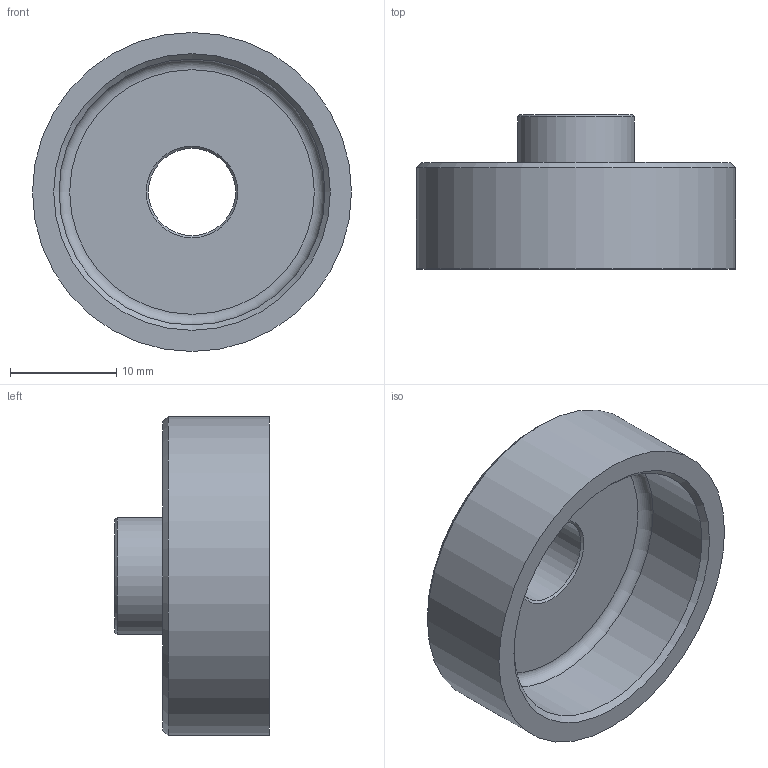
import cadquery as cq

body_diameter = 30.0
body_length = 10.0
body_chamfer = 0.5

boss_diameter = 11.0
boss_length = 4.5
boss_chamfer = 0.2

recess_diameter = 25.0
recess_depth = 8.0
recess_fillet = 1.0
mouth_chamfer = 0.5

bore_diameter = 8.2
bore_chamfer = 0.2

total_length = body_length + boss_length


def cylinder(diameter, start, end):
    """Cylinder on the Y axis from Y = start to Y = end."""
    plane = cq.Workplane("XZ", origin=(0, start, 0))
    return plane.circle(diameter / 2).extrude(start - end)


def entry_cone(diameter, start, flare):
    """Cone for a 45 degree chamfer, narrowing from Y = start down to the hole diameter."""
    radius = diameter / 2
    return cq.Workplane("XY").add(
        cq.Solid.makeCone(radius + flare, radius, flare, cq.Vector(0, start, 0), cq.Vector(0, 1, 0))
    )


def make_body():
    disc = cylinder(body_diameter, 0, body_length)
    return disc.faces(">Y").edges().chamfer(body_chamfer)


def make_boss():
    boss = cylinder(boss_diameter, recess_depth, total_length)
    return boss.faces(">Y").edges().chamfer(boss_chamfer)


def cut_recess(solid):
    pocket = cylinder(recess_diameter, 0, recess_depth)
    pocket = pocket.faces(">Y").edges().fillet(recess_fillet)
    return solid.cut(pocket).cut(entry_cone(recess_diameter, 0, mouth_chamfer))


def cut_bore(solid):
    bore = cylinder(bore_diameter, 0, total_length)
    return solid.cut(bore).cut(entry_cone(bore_diameter, recess_depth, bore_chamfer))


blank = make_body().union(make_boss())
result = cut_bore(cut_recess(blank))